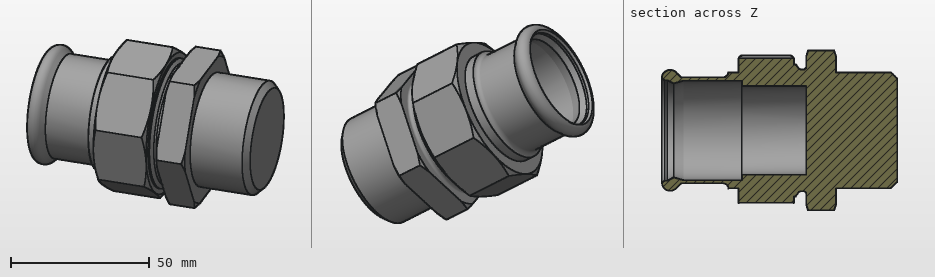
import cadquery as cq
import math

LENGTH = 85.0

BEAD_RADIUS = 3.1
BEAD_OUTER_RADIUS = 43.8 / 2

TUBE_RADIUS = 38.4 / 2
COLLAR_RADIUS = 42.0 / 2
COLLAR_START = 24.0

NUT_START = 27.6
NUT_END = 47.8
NUT_ACROSS_CORNERS = 56.3
NUT_FACE_RADIUS = 25.9
NUT_TURN = 30.0

SHOULDER_RADIUS = 47.8 / 2
SHOULDER_END = 48.4
GROOVE_RADIUS = 22.0
GROOVE_START = 50.2
GROOVE_LEAD_LENGTH = 0.8
GROOVE_LEAD_RISE = 0.3
GROOVE_FILLET = 1.0

HEX_START = 52.1
HEX_END = 62.9
HEX_ACROSS_FLATS = 50.0
HEX_FACE_RADIUS = 26.9
HEX_CHAMFER = 0.7

SPIGOT_RADIUS = 41.9 / 2
SPIGOT_CHAMFER = 2.3

LIP_LENGTH = 1.1
LIP_BORE_RADIUS = 18.1
LIP_BORE_END = 2.0
SEAL_CREST_RADIUS = 16.9
SEAL_CREST = 4.3
TUBE_BORE_RADIUS = 35.9 / 2
TUBE_BORE_START = 7.9
STOP_START = 28.9
INNER_BORE_RADIUS = 32.0 / 2

COS_45 = math.cos(math.radians(45))


def turn_about_x(profile):
    """Revolve a closed (x, radius) profile about the X axis."""
    return profile.close().revolve(360, (0, 0, 0), (1, 0, 0))


def body():
    """Turned outside: bead, tube, collar, shoulder, groove and spigot."""
    bead_center_radius = BEAD_OUTER_RADIUS - BEAD_RADIUS
    bead_end = BEAD_RADIUS * (1 + COS_45)
    bead_end_radius = bead_center_radius + BEAD_RADIUS * COS_45
    tube_start = bead_end + bead_end_radius - TUBE_RADIUS
    collar_fillet = COLLAR_RADIUS - TUBE_RADIUS
    fillet_mid = collar_fillet * COS_45
    groove_mid = GROOVE_FILLET * COS_45
    groove_end = HEX_START - GROOVE_FILLET
    profile = (
        cq.Workplane("XY")
        .lineTo(0, bead_center_radius)
        .threePointArc((BEAD_RADIUS, BEAD_OUTER_RADIUS), (bead_end, bead_end_radius))
        .lineTo(tube_start, TUBE_RADIUS)
        .lineTo(COLLAR_START - collar_fillet, TUBE_RADIUS)
        .threePointArc(
            (COLLAR_START - collar_fillet + fillet_mid, COLLAR_RADIUS - fillet_mid),
            (COLLAR_START, COLLAR_RADIUS),
        )
        .lineTo(NUT_START, COLLAR_RADIUS)
        .lineTo(NUT_START, SHOULDER_RADIUS)
        .lineTo(SHOULDER_END, SHOULDER_RADIUS)
        .lineTo(GROOVE_START - GROOVE_LEAD_LENGTH, GROOVE_RADIUS + GROOVE_LEAD_RISE)
        .lineTo(GROOVE_START, GROOVE_RADIUS)
        .lineTo(groove_end, GROOVE_RADIUS)
        .threePointArc(
            (groove_end + groove_mid, GROOVE_RADIUS + GROOVE_FILLET - groove_mid),
            (HEX_START, GROOVE_RADIUS + GROOVE_FILLET),
        )
        .lineTo(HEX_START, SPIGOT_RADIUS)
        .lineTo(LENGTH - SPIGOT_CHAMFER, SPIGOT_RADIUS)
        .lineTo(LENGTH, SPIGOT_RADIUS - SPIGOT_CHAMFER)
        .lineTo(LENGTH, 0)
    )
    return turn_about_x(profile)


def chamfered_prism(sides, across_corners, start, end, face_radius, chamfer):
    """Regular prism along X whose corners are turned down by a cone at both ends."""
    prism = (
        cq.Workplane("YZ", origin=(start, 0, 0))
        .polygon(sides, across_corners)
        .extrude(end - start)
    )
    corner_radius = across_corners / 2
    envelope = turn_about_x(
        cq.Workplane("XY")
        .moveTo(start, 0)
        .lineTo(start, face_radius)
        .lineTo(start + chamfer, corner_radius)
        .lineTo(end - chamfer, corner_radius)
        .lineTo(end, face_radius)
        .lineTo(end, 0)
    )
    return prism.intersect(envelope)


def union_nut():
    chamfer = (NUT_ACROSS_CORNERS / 2 - NUT_FACE_RADIUS) * math.tan(math.radians(30))
    nut = chamfered_prism(8, NUT_ACROSS_CORNERS, NUT_START, NUT_END, NUT_FACE_RADIUS, chamfer)
    return nut.rotate((0, 0, 0), (1, 0, 0), NUT_TURN)


def fixed_hexagon():
    across_corners = HEX_ACROSS_FLATS / math.cos(math.radians(30))
    return chamfered_prism(6, across_corners, HEX_START, HEX_END, HEX_FACE_RADIUS, HEX_CHAMFER)


def bore():
    """Blind bore: flared lip, tapered seal crest, tube bore to a stop, then the inner bore."""
    lip_radius = BEAD_OUTER_RADIUS - BEAD_RADIUS
    profile = (
        cq.Workplane("XY")
        .lineTo(0, lip_radius)
        .lineTo(LIP_LENGTH, LIP_BORE_RADIUS)
        .lineTo(LIP_BORE_END, LIP_BORE_RADIUS)
        .lineTo(SEAL_CREST, SEAL_CREST_RADIUS)
        .lineTo(TUBE_BORE_START, TUBE_BORE_RADIUS)
        .lineTo(STOP_START, TUBE_BORE_RADIUS)
        .lineTo(STOP_START, INNER_BORE_RADIUS)
        .lineTo(HEX_START, INNER_BORE_RADIUS)
        .lineTo(HEX_START, 0)
    )
    return turn_about_x(profile)


result = body().union(union_nut()).union(fixed_hexagon()).cut(bore())